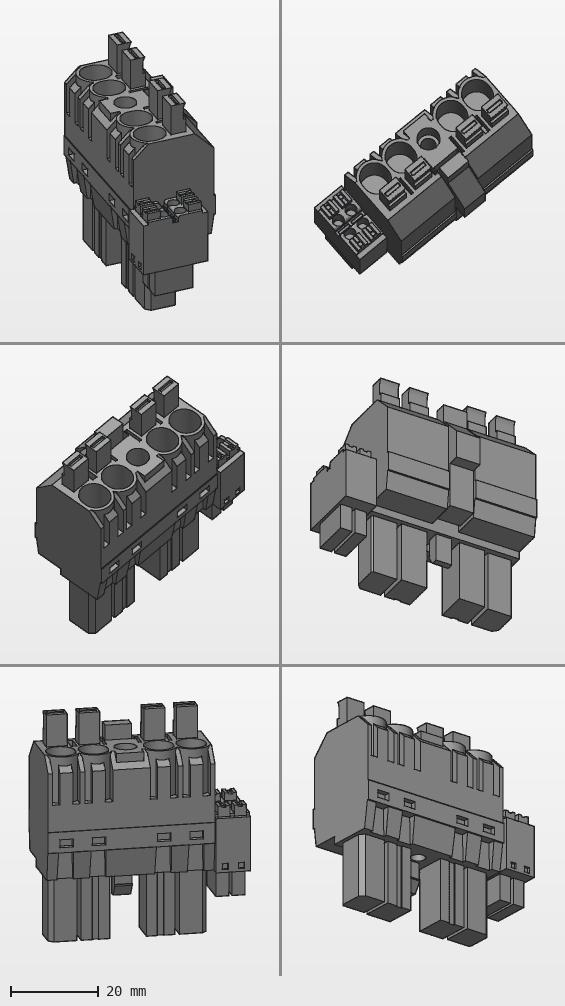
import cadquery as cq
import math


POLE_PITCH = 7.6
POLE_XS = [step * POLE_PITCH for step in (-2, -1, 1, 2)]

HOUSING_WIDTH = 39.0
HALF_WIDTH = HOUSING_WIDTH / 2
HOUSING_TOP = 29.1
FRONT_Y = -6.5
BACK_Y = 13.5
FRONT_CHAMFER_DEPTH = 3.65
FRONT_CHAMFER_HEIGHT = 3.45
BACK_CHAMFER = 4.8
BAND_BOTTOM = 6.8
BAND_TOP = 11.7
BAND_FRONT_Y = -6.7
BAND_BACK_Y = 13.9
TAPER_START_FRONT_Y = -6.3
TAPER_END_FRONT_Y = -5.25
TAPER_END_BACK_Y = 12.8
BACK_STEP_Y = 6.0
BACK_STEP_Z = 2.0

WIRE_HOLE_RADIUS = 3.4
WIRE_HOLE_STRETCH = 0.8
COLLAR_RADIUS = 4.15
COLLAR_Y = -1.05
GROOVE_BOTTOM = 18.15
GROOVE_HALF_SPAN = 3.25
RIB_HALF_WIDTH = 1.5

SCREW_HOLE_RADIUS = 1.75
COUNTERBORE_RADIUS = 2.6
COUNTERBORE_DEPTH = 6.25
TONGUE_WIDTH = 6.35
TONGUE_FRONT_Y = -5.1

SLITS = [(-11.35, 1.35), (-4.05, 0.7), (4.05, 0.7), (11.15, 0.7)]
SLIT_BACK_Y = 7.45
SLIT_FRONT_Y = 2.85
SLIT_DEPTH = 3.15

WINDOW_WIDTH = 3.15
WINDOW_BOTTOM = 8.0
WINDOW_TOP = 9.9
WINDOW_DEPTH = 1.35
RECESS_FLOOR_Y = -4.45
RECESS_TOP_WIDTH = 3.5
RECESS_BOTTOM_WIDTH = 3.85

LATCH_WIDTH = 6.15
LATCH_SLOT_WIDTH = 6.9
LATCH_FRONT_Y = 7.45
LATCH_TOWER_BACK_Y = 10.6
LATCH_BACK_Y = 16.45
LATCH_TOP = 32.2
LATCH_SLOPE_TOP = 27.55
LATCH_SLOPE_BOTTOM = 21.55
LATCH_GRIP_BOTTOM = 14.3
LATCH_BOTTOM = 2.65
HINGE_TOP = 23.95

HOOK_WIDTH = 4.1
HOOK_BACK_Y = 5.3
HOOK_STEM_FRONT_Y = 2.3
HOOK_NOSE_Y = 2.0
HOOK_TIP_FRONT_Y = 3.7
HOOK_NOSE_TOP = -4.2
HOOK_NOSE_BOTTOM = -4.6
HOOK_BOTTOM = -7.2

POST_BOTTOM = -15.5
POST_FRONT_Y = -2.85
INNER_POST_BACK_Y = 4.95
OUTER_POST_WIDTH = 6.5
INNER_POST_WIDTH = 6.65
POST_CHAMFER = 1.15
POST_GROOVE_WIDTH = 1.5
POST_GROOVE_DEPTH = 0.3
OUTER_POST_BACK_Y = 4.6
POST_BACK_CHAMFER = 0.4

BUTTON_WIDTH = 4.9
BUTTON_FRONT_Y = 3.6
BUTTON_BACK_Y = 7.3
BUTTON_NECK_Y = 6.65
BUTTON_LIP_Y = 7.15
BUTTON_BOTTOM = GROOVE_BOTTOM
BUTTON_SHOULDER = 32.45
BUTTON_NECK_TOP = 35.0
BUTTON_TOP = 36.65
DRIVER_SLOT_LENGTH = 3.95
DRIVER_SLOT_WIDTH = 0.95
DRIVER_SLOT_DEPTH = 0.85
DRIVER_SLOT_Y = 5.35

SIGNAL_WIDTH = 8.1
SIGNAL_PITCH = 3.8
SIGNAL_CENTRE_X = HALF_WIDTH + SIGNAL_WIDTH / 2
SIGNAL_XS = [SIGNAL_CENTRE_X + side * SIGNAL_PITCH / 2 for side in (-1, 1)]
SIGNAL_CENTRE_Y = 0.35
SIGNAL_DEPTH = 16.05
SIGNAL_TOP = 13.55
SIGNAL_LIP_TOP = 12.85
VALLEY_WIDTH = 1.35
VALLEY_DEPTH = 1.55
VALLEY_ROUNDING = 0.75
VALLEY_POCKET_WIDTH = 3.1
VALLEY_POCKET_DEPTH = 0.5
SIGNAL_HOLE_RADIUS = 1.35
SIGNAL_HOLE_OFFSET = 2.1
SIGNAL_HOLE_DEPTH = 5.2
SIGNAL_WINDOW_WIDTH = 1.4
SIGNAL_WINDOW_BOTTOM = 0.7
SIGNAL_WINDOW_TOP = 2.1
SIGNAL_WINDOW_DEPTH = 0.7
SIGNAL_POST_WIDTH = 3.0
SIGNAL_POST_FRONT_Y = -4.55
SIGNAL_POST_BACK_Y = 4.95
SIGNAL_POST_BOTTOM = -6.55

SIGNAL_BUTTON_WIDTH = 2.8
SIGNAL_BUTTON_INNER = 3.5
SIGNAL_BUTTON_OUTER = 6.7
SIGNAL_BUTTON_BOTTOM = 9.4
SIGNAL_BUTTON_TOP = 15.4
SIGNAL_SLOT_TOP_WIDTH = 1.25
SIGNAL_SLOT_BOTTOM_WIDTH = 0.75
SIGNAL_SLOT_DEPTH = 0.35
TEST_HOLE_RADIUS = 0.55
TEST_HOLE_DEPTH = 1.05
TEST_HOLE_OFFSET = 5.7


def block(x_range, y_range, z_range):
    """Axis-aligned block between the given pairs of coordinates."""
    x0, x1 = x_range
    y0, y1 = y_range
    z0, z1 = z_range
    return cq.Workplane("XY").box(x1 - x0, y1 - y0, z1 - z0, centered=False).translate((x0, y0, z0))


def span(centre, width):
    """The two ends of a width laid out about its centre."""
    return (centre - width / 2, centre + width / 2)


def side_profile(points, centre_x, width):
    """Outline of (Y, Z) points extruded along X about centre_x."""
    return cq.Workplane("YZ", origin=(centre_x - width / 2, 0, 0)).polyline(points).close().extrude(width)


def vertical_cylinder(x, y, radius, z_range):
    z0, z1 = z_range
    return cq.Workplane("XY", origin=(x, y, z0)).circle(radius).extrude(z1 - z0)


def housing_shell():
    """Side profile with both top chamfers, the wider band and the tapered foot."""
    return side_profile(
        [
            (FRONT_Y + FRONT_CHAMFER_DEPTH, HOUSING_TOP),
            (BACK_Y - BACK_CHAMFER, HOUSING_TOP),
            (BACK_Y, HOUSING_TOP - BACK_CHAMFER),
            (BACK_Y, BAND_TOP),
            (BAND_BACK_Y, BAND_TOP),
            (BAND_BACK_Y, BAND_BOTTOM),
            (BACK_Y, BAND_BOTTOM),
            (TAPER_END_BACK_Y, BACK_STEP_Z),
            (BACK_STEP_Y, BACK_STEP_Z),
            (BACK_STEP_Y, 0),
            (TAPER_END_FRONT_Y, 0),
            (TAPER_START_FRONT_Y, BAND_BOTTOM),
            (BAND_FRONT_Y, BAND_BOTTOM),
            (BAND_FRONT_Y, BAND_TOP),
            (FRONT_Y, BAND_TOP),
            (FRONT_Y, HOUSING_TOP - FRONT_CHAMFER_HEIGHT),
        ],
        0,
        HOUSING_WIDTH,
    )


def collar_grooves(pole_x):
    """Two vertical grooves that leave a rib in front of the collar."""
    height = (GROOVE_BOTTOM, HOUSING_TOP)
    depth = (FRONT_Y, COLLAR_Y)
    left = block((pole_x - GROOVE_HALF_SPAN, pole_x - RIB_HALF_WIDTH), depth, height)
    right = block((pole_x + RIB_HALF_WIDTH, pole_x + GROOVE_HALF_SPAN), depth, height)
    return left.union(right)


def collar(pole_x):
    return vertical_cylinder(pole_x, COLLAR_Y, COLLAR_RADIUS, (GROOVE_BOTTOM, HOUSING_TOP))


def wire_hole(pole_x):
    """Blind hole with flat sides and round ends, its front end concentric with the collar."""
    return (
        cq.Workplane("XY", origin=(pole_x, COLLAR_Y + WIRE_HOLE_STRETCH / 2, GROOVE_BOTTOM))
        .slot2D(WIRE_HOLE_STRETCH + 2 * WIRE_HOLE_RADIUS, 2 * WIRE_HOLE_RADIUS, 90)
        .extrude(HOUSING_TOP - GROOVE_BOTTOM)
    )


def button_pocket(pole_x):
    return block(
        span(pole_x, BUTTON_WIDTH), (BUTTON_FRONT_Y, BUTTON_BACK_Y), (BUTTON_BOTTOM, HOUSING_TOP)
    )


def front_window(pole_x):
    return block(
        span(pole_x, WINDOW_WIDTH),
        (BAND_FRONT_Y, BAND_FRONT_Y + WINDOW_DEPTH),
        (WINDOW_BOTTOM, WINDOW_TOP),
    )


def foot_recess(pole_x):
    """Recess in the tapered foot, slightly wider at its bottom."""
    return (
        cq.Workplane("XZ", origin=(pole_x, RECESS_FLOOR_Y, 0))
        .polyline(
            [
                (-RECESS_BOTTOM_WIDTH / 2, 0),
                (RECESS_BOTTOM_WIDTH / 2, 0),
                (RECESS_TOP_WIDTH / 2, BAND_BOTTOM),
                (-RECESS_TOP_WIDTH / 2, BAND_BOTTOM),
            ]
        )
        .close()
        .extrude(RECESS_FLOOR_Y - BAND_FRONT_Y)
    )


def screw_tongue():
    """Flat tongue that carries the top face forward over the front chamfer."""
    chamfer_slope = FRONT_CHAMFER_HEIGHT / FRONT_CHAMFER_DEPTH
    chamfer_top_y = FRONT_Y + FRONT_CHAMFER_DEPTH
    tongue_bottom = HOUSING_TOP - (chamfer_top_y - TONGUE_FRONT_Y) * chamfer_slope
    return block(span(0, TONGUE_WIDTH), (TONGUE_FRONT_Y, chamfer_top_y), (tongue_bottom, HOUSING_TOP))


def screw_hole():
    through = vertical_cylinder(0, 0, SCREW_HOLE_RADIUS, (0, HOUSING_TOP))
    counterbore = vertical_cylinder(
        0, 0, COUNTERBORE_RADIUS, (HOUSING_TOP - COUNTERBORE_DEPTH, HOUSING_TOP)
    )
    return through.union(counterbore)


def top_slit(centre_x, width):
    return block(
        span(centre_x, width), (SLIT_FRONT_Y, SLIT_BACK_Y), (HOUSING_TOP - SLIT_DEPTH, HOUSING_TOP)
    )


def latch_slot():
    return block(span(0, LATCH_SLOT_WIDTH), (BACK_STEP_Y, BAND_BACK_Y), (0, HOUSING_TOP))


def latch():
    """Lever with a tower, a sloped grip and a hinge bridge to the wall of its slot."""
    return side_profile(
        [
            (LATCH_FRONT_Y, LATCH_TOP),
            (LATCH_TOWER_BACK_Y, LATCH_TOP),
            (LATCH_TOWER_BACK_Y, LATCH_SLOPE_TOP),
            (LATCH_BACK_Y, LATCH_SLOPE_BOTTOM),
            (LATCH_BACK_Y, LATCH_GRIP_BOTTOM),
            (BACK_Y, LATCH_GRIP_BOTTOM),
            (BACK_Y, LATCH_BOTTOM),
            (LATCH_FRONT_Y, LATCH_BOTTOM),
            (LATCH_FRONT_Y, BAND_TOP),
            (BACK_STEP_Y, BAND_TOP),
            (BACK_STEP_Y, HINGE_TOP),
            (LATCH_FRONT_Y, HINGE_TOP),
        ],
        0,
        LATCH_WIDTH,
    )


def hook():
    """Snap hook under the housing, its nose facing forward."""
    return side_profile(
        [
            (HOOK_BACK_Y, 0),
            (HOOK_BACK_Y, HOOK_BOTTOM),
            (HOOK_TIP_FRONT_Y, HOOK_BOTTOM),
            (HOOK_NOSE_Y, HOOK_NOSE_BOTTOM),
            (HOOK_NOSE_Y, HOOK_NOSE_TOP),
            (HOOK_STEM_FRONT_Y, HOOK_NOSE_TOP),
            (HOOK_STEM_FRONT_Y, 0),
        ],
        0,
        HOOK_WIDTH,
    )


def outer_post(pole_x):
    """End post: wide chamfer on the front outer corner and a small one on the back outer corner."""
    outward = math.copysign(1, pole_x)
    inner_x = -OUTER_POST_WIDTH / 2
    outer_x = OUTER_POST_WIDTH / 2
    outline = [
        (inner_x, POST_FRONT_Y),
        (outer_x - POST_CHAMFER, POST_FRONT_Y),
        (outer_x, POST_FRONT_Y + POST_CHAMFER),
        (outer_x, OUTER_POST_BACK_Y - POST_BACK_CHAMFER),
        (outer_x - POST_BACK_CHAMFER, OUTER_POST_BACK_Y),
        (inner_x, OUTER_POST_BACK_Y),
    ]
    placed = [(pole_x + outward * x, y) for x, y in outline]
    return cq.Workplane("XY").polyline(placed).close().extrude(POST_BOTTOM)


def inner_post(pole_x):
    """Inner post with a shallow groove down the middle of its front."""
    post = block(span(pole_x, INNER_POST_WIDTH), (POST_FRONT_Y, INNER_POST_BACK_Y), (POST_BOTTOM, 0))
    groove = block(
        span(pole_x, POST_GROOVE_WIDTH),
        (POST_FRONT_Y, POST_FRONT_Y + POST_GROOVE_DEPTH),
        (POST_BOTTOM, 0),
    )
    return post.cut(groove)


def build_power_housing():
    body = housing_shell()
    for pole_x in POLE_XS:
        body = body.cut(collar_grooves(pole_x))
    for pole_x in POLE_XS:
        body = body.union(collar(pole_x))
    for pole_x in POLE_XS:
        body = body.cut(wire_hole(pole_x)).cut(button_pocket(pole_x))
        body = body.cut(front_window(pole_x)).cut(foot_recess(pole_x))
    body = body.union(screw_tongue()).cut(screw_hole())
    for centre_x, width in SLITS:
        body = body.cut(top_slit(centre_x, width))
    body = body.cut(latch_slot()).union(latch()).union(hook())
    for pole_x in (POLE_XS[0], POLE_XS[-1]):
        body = body.union(outer_post(pole_x))
    for pole_x in POLE_XS[1:-1]:
        body = body.union(inner_post(pole_x))
    return body


def build_power_button(pole_x):
    """Push button with a necked back and a driver slot in its top."""
    profile = (
        cq.Workplane("YZ", origin=(pole_x - BUTTON_WIDTH / 2, 0, 0))
        .moveTo(BUTTON_FRONT_Y, BUTTON_BOTTOM)
        .lineTo(BUTTON_BACK_Y, BUTTON_BOTTOM)
        .lineTo(BUTTON_BACK_Y, BUTTON_SHOULDER)
        .lineTo(BUTTON_NECK_Y, BUTTON_SHOULDER)
        .lineTo(BUTTON_NECK_Y, BUTTON_NECK_TOP)
        .tangentArcPoint((BUTTON_LIP_Y, BUTTON_TOP), relative=False)
        .lineTo(BUTTON_FRONT_Y, BUTTON_TOP)
        .close()
    )
    driver_slot = block(
        span(pole_x, DRIVER_SLOT_LENGTH),
        span(DRIVER_SLOT_Y, DRIVER_SLOT_WIDTH),
        (BUTTON_TOP - DRIVER_SLOT_DEPTH, BUTTON_TOP),
    )
    return profile.extrude(BUTTON_WIDTH).cut(driver_slot)


def signal_row_range(row, near, far):
    """Y range between two distances from the signal centre, on the +Y (1) or -Y (-1) side."""
    return tuple(sorted((SIGNAL_CENTRE_Y + row * near, SIGNAL_CENTRE_Y + row * far)))


def signal_shell():
    """Block with a raised middle and a round-edged valley between its two rows."""
    x_range = span(SIGNAL_CENTRE_X, SIGNAL_WIDTH)
    shell = block(x_range, span(SIGNAL_CENTRE_Y, SIGNAL_DEPTH), (0, SIGNAL_LIP_TOP))
    for row in (-1, 1):
        bank = block(
            x_range,
            signal_row_range(row, VALLEY_WIDTH / 2, SIGNAL_BUTTON_OUTER),
            (SIGNAL_LIP_TOP - VALLEY_DEPTH, SIGNAL_TOP),
        )
        valley_edge = ">Z and <Y" if row > 0 else ">Z and >Y"
        shell = shell.union(bank.edges(valley_edge).fillet(VALLEY_ROUNDING))
    return shell


def signal_valley():
    """Gap between the two rows, with a shallow pocket in its floor at each pole."""
    floor = SIGNAL_TOP - VALLEY_DEPTH
    valley = block(
        span(SIGNAL_CENTRE_X, SIGNAL_WIDTH), span(SIGNAL_CENTRE_Y, VALLEY_WIDTH), (floor, SIGNAL_TOP)
    )
    for pole_x in SIGNAL_XS:
        pocket = block(
            span(pole_x, VALLEY_POCKET_WIDTH),
            span(SIGNAL_CENTRE_Y, VALLEY_WIDTH / 2),
            (floor - VALLEY_POCKET_DEPTH, floor),
        )
        valley = valley.union(pocket)
    return valley


def signal_wire_hole(pole_x, row):
    return vertical_cylinder(
        pole_x,
        SIGNAL_CENTRE_Y + row * SIGNAL_HOLE_OFFSET,
        SIGNAL_HOLE_RADIUS,
        (SIGNAL_TOP - SIGNAL_HOLE_DEPTH, SIGNAL_TOP),
    )


def signal_button_block(pole_x, row, top):
    """Block of a signal button's footprint, from the pocket floor up to the given height."""
    return block(
        span(pole_x, SIGNAL_BUTTON_WIDTH),
        signal_row_range(row, SIGNAL_BUTTON_INNER, SIGNAL_BUTTON_OUTER),
        (SIGNAL_BUTTON_BOTTOM, top),
    )


def signal_window(pole_x):
    front_y = SIGNAL_CENTRE_Y - SIGNAL_DEPTH / 2
    return block(
        span(pole_x, SIGNAL_WINDOW_WIDTH),
        (front_y, front_y + SIGNAL_WINDOW_DEPTH),
        (SIGNAL_WINDOW_BOTTOM, SIGNAL_WINDOW_TOP),
    )


def signal_post(pole_x):
    return block(
        span(pole_x, SIGNAL_POST_WIDTH),
        (SIGNAL_POST_FRONT_Y, SIGNAL_POST_BACK_Y),
        (SIGNAL_POST_BOTTOM, 0),
    )


def build_signal_housing():
    body = signal_shell().cut(signal_valley())
    for pole_x in SIGNAL_XS:
        for row in (-1, 1):
            body = body.cut(signal_wire_hole(pole_x, row))
            body = body.cut(signal_button_block(pole_x, row, SIGNAL_TOP))
        body = body.cut(signal_window(pole_x)).union(signal_post(pole_x))
    return body


def build_signal_button(pole_x, row):
    """Push button with a tapered slot along Y and a round test hole in its top."""
    slot_y_range = signal_row_range(row, SIGNAL_BUTTON_INNER, SIGNAL_BUTTON_OUTER)
    slot = (
        cq.Workplane("XZ", origin=(pole_x, slot_y_range[1], SIGNAL_BUTTON_TOP))
        .polyline(
            [
                (-SIGNAL_SLOT_TOP_WIDTH / 2, 0),
                (SIGNAL_SLOT_TOP_WIDTH / 2, 0),
                (SIGNAL_SLOT_BOTTOM_WIDTH / 2, -SIGNAL_SLOT_DEPTH),
                (-SIGNAL_SLOT_BOTTOM_WIDTH / 2, -SIGNAL_SLOT_DEPTH),
            ]
        )
        .close()
        .extrude(slot_y_range[1] - slot_y_range[0])
    )
    test_hole = vertical_cylinder(
        pole_x,
        SIGNAL_CENTRE_Y + row * TEST_HOLE_OFFSET,
        TEST_HOLE_RADIUS,
        (SIGNAL_BUTTON_TOP - TEST_HOLE_DEPTH, SIGNAL_BUTTON_TOP),
    )
    return signal_button_block(pole_x, row, SIGNAL_BUTTON_TOP).cut(slot).cut(test_hole)


power_housing = build_power_housing()
power_buttons = [build_power_button(pole_x) for pole_x in POLE_XS]
signal_housing = build_signal_housing()
signal_buttons = [build_signal_button(pole_x, row) for pole_x in SIGNAL_XS for row in (-1, 1)]

result = cq.Compound.makeCompound(
    [
        power_housing.val(),
        signal_housing.val(),
        *[button.val() for button in power_buttons],
        *[button.val() for button in signal_buttons],
    ]
)